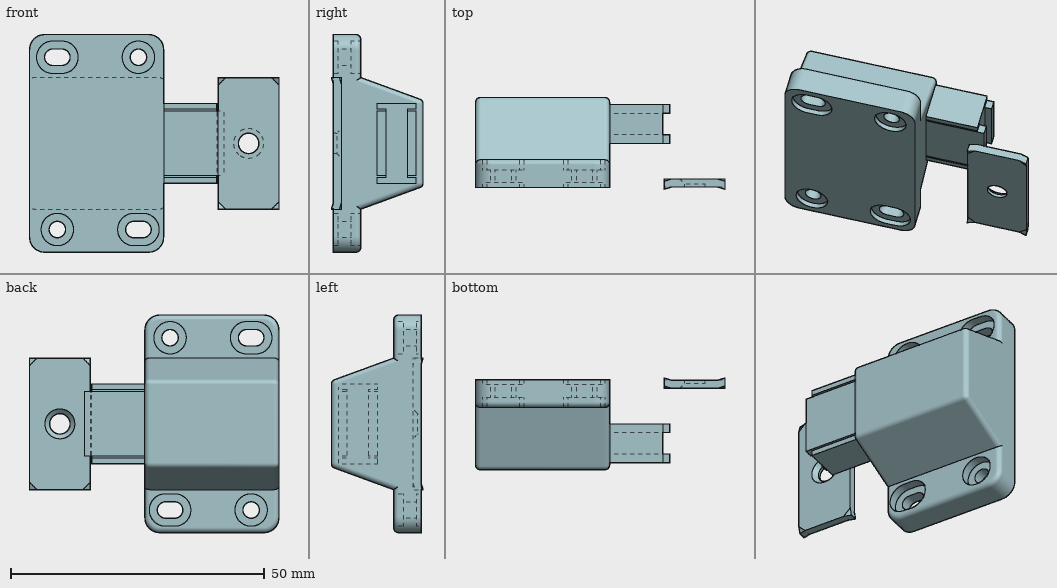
import cadquery as cq
import math


housing_length = 26.5
housing_height = 43.0
housing_depth = 17.8
flange_thickness = 5.5
flange_corner_radius = 3.0
edge_radius = 1.0
hump_base_height = 26.0
hump_top_height = 17.0

hole_diameter = 3.2
counterbore_diameter = 6.4
counterbore_depth = 1.0
web_thickness = 2.5
slot_travel = 1.8
first_hole_x = 5.5
hole_pitch_x = 16.0
hole_pitch_z = 34.0

sleeve_length = 10.5
sleeve_height = 15.8
magnet_depth = 7.7
magnet_front_y = 8.7
pole_overhang = 1.35
pole_height = 12.7
pole_thickness = 1.75
groove_width = 0.4

strike_length = 12.0
strike_height = 26.0
strike_thickness = 1.6
strike_start_x = 37.25
strike_front_y = 0.1
strike_hole_diameter = 4.0
strike_sink_depth = 0.95
strike_sink_half_angle = 45.0
strike_corner_leg = 1.5
strike_corner_drop = 0.45


def box(x, y, z, dx, dy, dz):
    """Box from its lowest X and Y, centred on height z."""
    return cq.Workplane("XY").box(dx, dy, dz, centered=(False, False, True)).translate((x, y, z))


def slot_cutter(x, z, diameter, travel, depth, start_y=0.0):
    """Round or X-elongated cutter at (x, z), running from start_y toward +Y."""
    sketch = cq.Workplane("XZ", origin=(x, start_y, z))
    if travel > 0:
        return sketch.slot2D(diameter + travel, diameter).extrude(-depth)
    return sketch.circle(diameter / 2).extrude(-depth)


def round_back_edges(body):
    """Round all edges behind the mounting face; the inner corners between flange and hump stay sharp."""
    tolerance = 0.001
    back_edges = []
    for edge in body.edges().vals():
        middle = edge.Center()
        at_flange = abs(middle.y - flange_thickness) < tolerance
        at_hump_base = abs(abs(middle.z) - hump_base_height / 2) < tolerance
        is_behind = edge.BoundingBox().ymin > flange_thickness - tolerance
        if is_behind and not (at_flange and at_hump_base):
            back_edges.append(edge)
    return body.newObject(back_edges).fillet(edge_radius)


def mounting_hole_cutters(x, z, travel):
    """Through hole with a counterbore in the mounting face and a matching recess in the flange back."""
    recess_floor_y = counterbore_depth + web_thickness
    recess_depth = flange_thickness - recess_floor_y
    return [
        slot_cutter(x, z, hole_diameter, travel, flange_thickness),
        slot_cutter(x, z, counterbore_diameter, travel, counterbore_depth),
        slot_cutter(x, z, counterbore_diameter, travel, recess_depth, recess_floor_y),
    ]


def make_housing():
    """Flange with a tapered hump behind it and two round and two slotted mounting holes."""
    upper_half = [
        (housing_depth, hump_top_height / 2),
        (flange_thickness, hump_base_height / 2),
        (flange_thickness, housing_height / 2),
        (0, housing_height / 2),
    ]
    lower_half = [(y, -z) for y, z in reversed(upper_half)]
    body = cq.Workplane("YZ").polyline(upper_half + lower_half).close().extrude(housing_length)
    body = body.edges("|Y").fillet(flange_corner_radius)
    body = round_back_edges(body)

    left_x = first_hole_x
    right_x = first_hole_x + hole_pitch_x
    upper_z = hole_pitch_z / 2
    hole_layout = [
        (left_x, upper_z, slot_travel),
        (right_x, -upper_z, slot_travel),
        (left_x, -upper_z, 0),
        (right_x, upper_z, 0),
    ]
    for x, z, travel in hole_layout:
        for cutter in mounting_hole_cutters(x, z, travel):
            body = body.cut(cutter)
    return body


def make_magnet_unit():
    """Sleeve with two pole plates that stand proud of its end, a groove along each plate edge."""
    unit = box(housing_length, magnet_front_y, 0, sleeve_length, magnet_depth, sleeve_height)
    pole_length = sleeve_length + pole_overhang
    groove_z = (pole_height + groove_width) / 2
    back_pole_y = magnet_front_y + magnet_depth - pole_thickness
    for y in (magnet_front_y, back_pole_y):
        unit = unit.union(box(housing_length, y, 0, pole_length, pole_thickness, pole_height))
        for side in (-1, 1):
            unit = unit.cut(
                box(housing_length, y, side * groove_z, sleeve_length, pole_thickness, groove_width)
            )
    return unit


def corner_wedge(x_side, z_side, base_y):
    """Tetrahedron with a flat triangle at base_y, dropping toward -Y to a tip at the plate corner."""
    x = strike_start_x + (1 + x_side) * strike_length / 2
    z = z_side * strike_height / 2
    corner = (x, base_y, z)
    along_x = (x - x_side * strike_corner_leg, base_y, z)
    along_z = (x, base_y, z - z_side * strike_corner_leg)
    tip = (x, base_y - strike_corner_drop, z)
    triangles = [
        (corner, along_x, along_z),
        (corner, along_x, tip),
        (corner, along_z, tip),
        (along_x, along_z, tip),
    ]
    faces = []
    for triangle in triangles:
        outline = cq.Wire.makePolygon([cq.Vector(*point) for point in triangle], close=True)
        faces.append(cq.Face.makeFromWires(outline))
    solid = cq.Solid.makeSolid(cq.Shell.makeShell(faces)).fix()
    return cq.Workplane(obj=solid)


def make_strike():
    """Flat plate with a centre hole, countersunk from behind, and its four corners bent toward -Y."""
    plate = box(strike_start_x, strike_front_y, 0, strike_length, strike_thickness, strike_height)
    back_y = strike_front_y + strike_thickness
    for x_side in (-1, 1):
        for z_side in (-1, 1):
            plate = plate.union(corner_wedge(x_side, z_side, strike_front_y))
            plate = plate.cut(corner_wedge(x_side, z_side, back_y))
    hole_x = strike_start_x + strike_length / 2
    hole = slot_cutter(hole_x, 0, strike_hole_diameter, 0, back_y)
    hole_radius = strike_hole_diameter / 2
    sink_radius = hole_radius + strike_sink_depth * math.tan(math.radians(strike_sink_half_angle))
    countersink = cq.Solid.makeCone(
        sink_radius, hole_radius, strike_sink_depth, cq.Vector(hole_x, back_y, 0), cq.Vector(0, -1, 0)
    )
    return plate.cut(hole).cut(cq.Workplane(obj=countersink))


housing = make_housing()
magnet_unit = make_magnet_unit()
strike = make_strike()
result = cq.Compound.makeCompound([housing.val(), magnet_unit.val(), strike.val()])